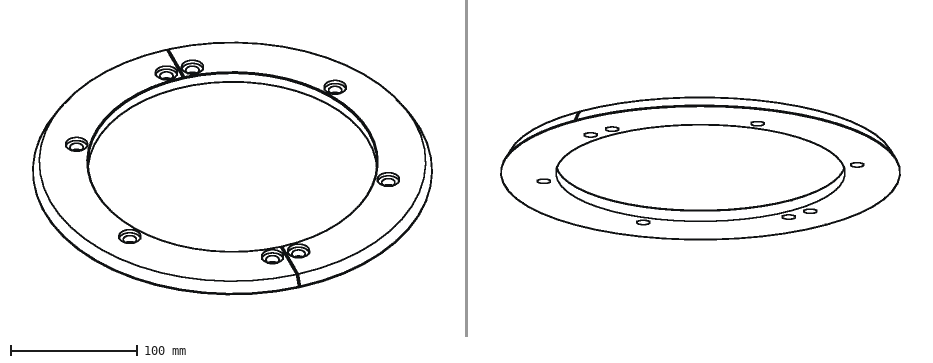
import cadquery as cq
import math

OUTER_RADIUS = 158
TOP_RADIUS = 153.0
BORE_RADIUS = 114.5
THICKNESS = 9.5
RIM_HEIGHT = 1.0

BORE_CHAMFER = 0.8

GROOVE_DEPTH = 0.8

HOLE_CIRCLE_RADIUS = 125.5
HOLE_ANGLES = (5, 60)
HOLE_DIAMETER = 10.5
COUNTERBORE_DIAMETER = 17.5
COUNTERBORE_DEPTH = 3.2


def make_ring():
    """Revolve the bevelled ring section about Z."""
    section = (
        cq.Workplane("XZ")
        .moveTo(BORE_RADIUS, 0)
        .lineTo(OUTER_RADIUS, 0)
        .lineTo(OUTER_RADIUS, RIM_HEIGHT)
        .lineTo(TOP_RADIUS, THICKNESS)
        .lineTo(BORE_RADIUS + BORE_CHAMFER, THICKNESS)
        .lineTo(BORE_RADIUS, THICKNESS - BORE_CHAMFER)
        .close()
    )
    return section.revolve(360, (0, 0, 0), (0, 1, 0))


def hole_centres():
    """Centres of the screw holes, symmetric about both the X and Y axes."""
    centres = []
    for angle in HOLE_ANGLES:
        x = HOLE_CIRCLE_RADIUS * math.cos(math.radians(angle))
        y = HOLE_CIRCLE_RADIUS * math.sin(math.radians(angle))
        centres += [(x, y), (-x, y), (-x, -y), (x, -y)]
    return centres


def cut_screw_holes(body):
    """Cut the counterbored holes down from the top face."""
    return (
        body.faces(">Z")
        .workplane(origin=(0, 0, THICKNESS))
        .pushPoints(hole_centres())
        .cboreHole(HOLE_DIAMETER, COUNTERBORE_DIAMETER, COUNTERBORE_DEPTH)
    )


def groove_cutter(start, direction, length):
    """V-shaped bar that follows a surface line in the XZ plane, starting at the (x, z) point start."""
    plane = cq.Plane(
        origin=(start[0], 0, start[1]),
        xDir=(0, 1, 0),
        normal=(direction[0], 0, direction[1]),
    )
    half_width = 2 * GROOVE_DEPTH
    profile = (
        cq.Workplane(plane)
        .moveTo(0, -GROOVE_DEPTH)
        .lineTo(half_width, GROOVE_DEPTH)
        .lineTo(-half_width, GROOVE_DEPTH)
        .close()
    )
    return profile.extrude(length)


def cut_seam_groove(body):
    """Cut the V groove along X: over the top face, then down the bevel to the rim on both sides."""
    bevel_run = OUTER_RADIUS - TOP_RADIUS
    bevel_drop = THICKNESS - RIM_HEIGHT
    bevel_length = math.hypot(bevel_run, bevel_drop)
    top_groove = groove_cutter((-TOP_RADIUS, THICKNESS), (1, 0), 2 * TOP_RADIUS)
    bevel_groove = groove_cutter((TOP_RADIUS, THICKNESS), (bevel_run, -bevel_drop), bevel_length)
    return body.cut(top_groove).cut(bevel_groove).cut(bevel_groove.mirror("YZ"))


result = cut_seam_groove(cut_screw_holes(make_ring()))